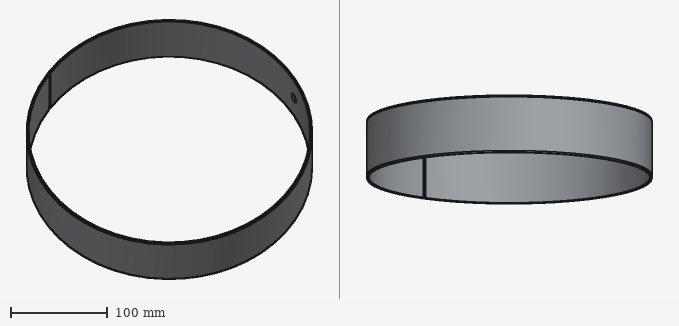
import cadquery as cq
import math

outer_diameter = 295.0
wall_thickness = 2.5
height = 60.0
outer_radius = outer_diameter / 2
inner_radius = outer_radius - wall_thickness

outer_chamfer_height = 1.8
outer_chamfer_angle = 20.0
outer_chamfer_depth = outer_chamfer_height * math.tan(math.radians(outer_chamfer_angle))
inner_chamfer = 0.8

gap_angle = 1.0
band_angle = 360 - gap_angle

hole_diameter = 10.0
hole_angle_from_band_end = 120.0
hole_angle = 180 - gap_angle - hole_angle_from_band_end
hole_height = height / 2


def make_band():
    """Wall section revolved about Z, starting at -X and ending gap_angle short of it."""
    outer_rim_radius = outer_radius - outer_chamfer_depth
    inner_rim_radius = inner_radius + inner_chamfer
    profile = (
        cq.Workplane("XZ")
        .moveTo(-outer_radius, outer_chamfer_height)
        .lineTo(-outer_radius, height - outer_chamfer_height)
        .lineTo(-outer_rim_radius, height)
        .lineTo(-inner_rim_radius, height)
        .lineTo(-inner_radius, height - inner_chamfer)
        .lineTo(-inner_radius, inner_chamfer)
        .lineTo(-inner_rim_radius, 0)
        .lineTo(-outer_rim_radius, 0)
        .close()
    )
    return profile.revolve(band_angle, (0, 0, 0), (0, 1, 0))


def make_hole():
    """Cylinder from the ring axis out through the wall at hole_angle."""
    return (
        cq.Workplane("YZ")
        .center(0, hole_height)
        .circle(hole_diameter / 2)
        .extrude(outer_diameter)
        .rotate((0, 0, 0), (0, 0, 1), hole_angle)
    )


result = make_band().cut(make_hole())